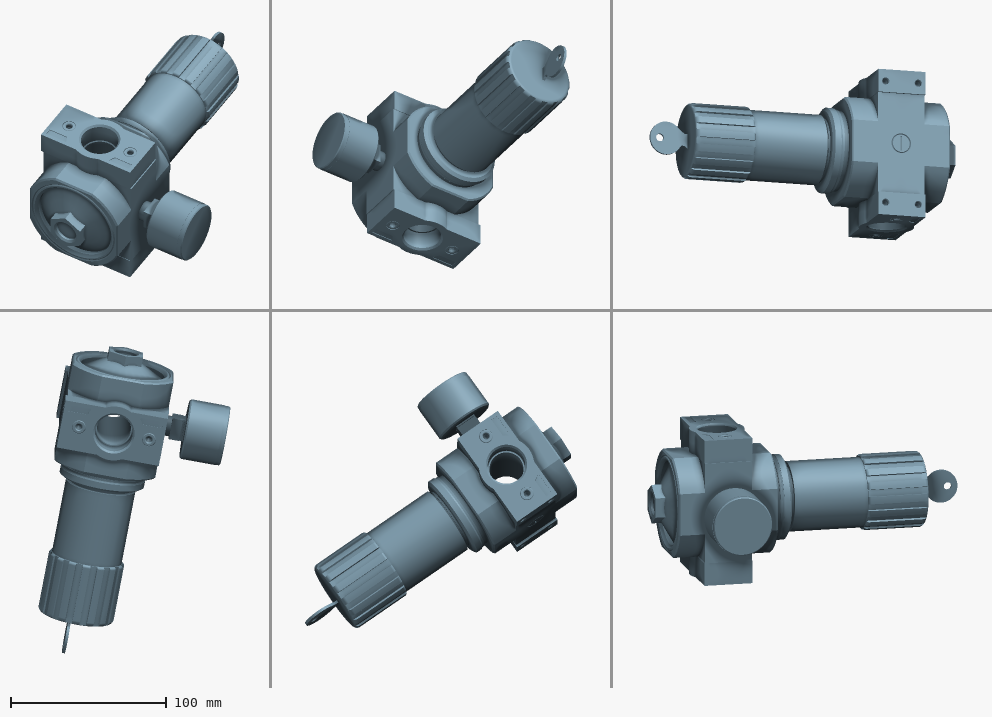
import cadquery as cq
import math


BODY_HALF = 32.99
BODY_RADIUS = 35.7
BODY_CHAMFER = 1.0
ARM_HALF = 15.53
PORT_BORE_DIAMETER = 22.0

COLLAR_RADIUS = 26.0
NUT_SKIRT_RADIUS = 26.8
NUT_SKIRT_START = 36.0
NUT_UNDERCUT_RADIUS = 27.2
NUT_UNDERCUT_START = 37.4
NUT_RADIUS = 27.6
NUT_START = 38.4
NUT_TOP = 43.8
NUT_CHAMFER_WIDTH = 2.2
NUT_CHAMFER_LENGTH = 1.5
NECK_RADIUS = 19.9
NECK_FLANGE_RADIUS = 20.7
NECK_FLANGE_TOP = 45.0

PLUG_OUTER_DIAMETER = 13.2
PLUG_INNER_DIAMETER = 11.2
PLUG_SLOT_WIDTH = 1.2
PLUG_SLOT_LENGTH = 9.1
PLUG_SLOT_DEPTH = 1.0

CAP_RADIUS = 30.7
CAP_EDGE_CHAMFER = 0.6
CAP_LIP_INNER_RADIUS = 29.0
CAP_CONE_BASE_RADIUS = 27.2
CAP_DISH_CHAMFER_DEPTH = 2.0
CAP_DISH_DEPTH = 5.0
CAP_THICKNESS = 10.2
CAP_CONE_TIP_RADIUS = 11.0
CAP_CONE_TIP_HEIGHT = 4.5
HEX_ACROSS_FLATS = 22.1
HEX_END = -43.0
HEX_RECESS_DIAMETER = 17.0
HEX_RECESS_FLOOR_DIAMETER = 14.6
HEX_RECESS_CHAMFER_DEPTH = 1.2
HEX_RECESS_DEPTH = 2.8

SLEEVE_RADIUS = 22.7
SLEEVE_START = 46.5
KNOB_START = 94.8
KNOB_END = 135.0
KNOB_RADIUS = 24.5
KNOB_CORE_RADIUS = 23.3
KNOB_TOP_FILLET = 2.8
KNOB_BOTTOM_FILLET = 1.73
RIB_COUNT = 16
RIB_WIDTH = 4.9

KEY_TIP = 160.0
KEY_BOW_RADIUS = 10.8
KEY_HOLE_DIAMETER = 5.0
KEY_HOLE_OFFSET = 4.3
KEY_X = -3.35
KEY_THICKNESS = 1.8
KEY_NECK_TOP = 3.5
KEY_NECK_BOTTOM = -4.5
KEY_NECK_LENGTH = 4.0
KEY_FOOT_BOTTOM = -6.0
KEY_FOOT_LENGTH = 2.0
KEY_SHOULDER_HALF = 9.0
KEY_SHOULDER_OFFSET = 5.9

PLATE_X_MIN = -34.5
PLATE_X_MAX = 32.3
PLATE_X_MID = (PLATE_X_MIN + PLATE_X_MAX) / 2
PLATE_HALF_WIDTH = 15.8
PLATE_END = 48.0
PLATE_THICKNESS = PLATE_END - BODY_HALF
PORT_BOSS_RADIUS = 17.9
PORT_DIAMETER = 24.2
PORT_DEPTH = 13.4
PORT_CHAMFER = 1.2
SIDE_HOLE_DIAMETER = 4.0
SIDE_HOLE_MOUTH_DIAMETER = 5.0
SIDE_HOLE_SPACING = 22.0
SIDE_HOLE_Z = 40.1
SIDE_HOLE_DEPTH = 3.0
LABEL_INNER_X = 16.2
LABEL_OUTER_X = 30.9
LABEL_SLANT = 1.8
LABEL_TIP_HEIGHT = 1.0
LABEL_Y_MIN = -13.4
LABEL_Y_MAX = -9.1
LABEL_DEPTH = 0.5

SCREW_DIAMETER = 8.7
SCREW_CHAMFER = 0.5
SCREW_SPACING = 45.9
SCREW_SOCKET_DIAMETER = 4.0
SCREW_SOCKET_MOUTH_DIAMETER = 5.0
SCREW_SOCKET_DEPTH = 3.0

STEM_DIAMETER = 13.2
SQUARE_START = 37.1
SQUARE_SIZE = 14.0
NOTCH_START = 43.8
NOTCH_END = 45.3
NOTCH_DEPTH = 1.12
GAUGE_START = 46.3
GAUGE_END = 72.7
GAUGE_RADIUS = 19.5
GAUGE_BACK_CHAMFER = 1.0
BEZEL_START = 69.5
BEZEL_RADIUS = 19.3
BEZEL_CHAMFER = 0.6


def revolve_about_y(points):
    """Revolve an outline of (radius, y) points about the regulator axis."""
    return cq.Workplane("XY").polyline(points).close().revolve(360, (0, 0, 0), (0, 1, 0))


def cylinder_x(x_start, x_end, radius):
    return cq.Workplane("YZ", origin=(x_start, 0, 0)).circle(radius).extrude(x_end - x_start)


def block_x(x_start, x_end, size_y, size_z):
    return cq.Workplane("YZ", origin=(x_start, 0, 0)).rect(size_y, size_z).extrude(x_end - x_start)


def cylinder_z(x, z_start, z_end, radius):
    return cq.Workplane("XY", origin=(x, 0, z_start)).circle(radius).extrude(z_end - z_start)


def drilled_hole(diameter, mouth_diameter, depth):
    """Chamfered blind hole with a conical end, drilled downwards from the origin."""
    radius = diameter / 2
    mouth_radius = mouth_diameter / 2
    outline = [
        (0, 0),
        (mouth_radius, 0),
        (radius, radius - mouth_radius),
        (radius, -depth),
        (0, -depth - radius),
    ]
    return cq.Workplane("XZ").polyline(outline).close().revolve(360, (0, 0, 0), (0, 1, 0))


def rounded_body():
    square = cq.Workplane("XY").box(2 * BODY_HALF, 2 * BODY_HALF, 2 * BODY_HALF)
    edge_radius = BODY_RADIUS - BODY_CHAMFER
    edge_y = BODY_HALF - BODY_CHAMFER
    drum = revolve_about_y([
        (0, -BODY_HALF),
        (edge_radius, -BODY_HALF),
        (BODY_RADIUS, -edge_y),
        (BODY_RADIUS, edge_y),
        (edge_radius, BODY_HALF),
        (0, BODY_HALF),
    ])
    return square.faces("<Y or >Y").chamfer(BODY_CHAMFER).intersect(drum)


def collar():
    return revolve_about_y([
        (0, 0),
        (COLLAR_RADIUS, 0),
        (COLLAR_RADIUS, NUT_SKIRT_START),
        (NUT_SKIRT_RADIUS, NUT_SKIRT_START),
        (NUT_SKIRT_RADIUS, NUT_UNDERCUT_START),
        (NUT_UNDERCUT_RADIUS, NUT_START),
        (NUT_RADIUS, NUT_START),
        (NUT_RADIUS, NUT_TOP - NUT_CHAMFER_LENGTH),
        (NUT_RADIUS - NUT_CHAMFER_WIDTH, NUT_TOP),
        (NECK_FLANGE_RADIUS, NUT_TOP),
        (NECK_FLANGE_RADIUS, NECK_FLANGE_TOP),
        (NECK_RADIUS, NECK_FLANGE_TOP),
        (NECK_RADIUS, SLEEVE_START),
        (0, SLEEVE_START),
    ])


def cap_seat():
    floor_y = CAP_THICKNESS - BODY_HALF
    return revolve_about_y([
        (0, -BODY_HALF),
        (CAP_RADIUS + CAP_EDGE_CHAMFER, -BODY_HALF),
        (CAP_RADIUS, CAP_EDGE_CHAMFER - BODY_HALF),
        (CAP_RADIUS, floor_y),
        (0, floor_y),
    ])


def plug_marking():
    """V groove around the plug face, and its screwdriver slot."""
    outer = PLUG_OUTER_DIAMETER / 2
    inner = PLUG_INNER_DIAMETER / 2
    middle = (outer + inner) / 2
    depth = outer - middle
    face = -BODY_HALF
    groove = (
        cq.Workplane("XY")
        .polyline([(face, outer), (face + depth, middle), (face, inner)])
        .close()
        .revolve(360, (0, 0, 0), (1, 0, 0))
    )
    slot = cq.Workplane("XY").box(2 * PLUG_SLOT_DEPTH, PLUG_SLOT_WIDTH, PLUG_SLOT_LENGTH)
    return groove.union(slot.translate((face, 0, 0)))


def make_housing():
    arms = cq.Workplane("XY").box(2 * BODY_HALF, 2 * ARM_HALF, 2 * BODY_HALF)
    bore = cylinder_z(0, -BODY_HALF, BODY_HALF, PORT_BORE_DIAMETER / 2)
    return (
        rounded_body()
        .union(arms)
        .union(collar())
        .cut(cap_seat())
        .cut(bore)
        .cut(plug_marking())
    )


def make_cap():
    dish = revolve_about_y([
        (0, CAP_THICKNESS - BODY_HALF),
        (CAP_RADIUS, CAP_THICKNESS - BODY_HALF),
        (CAP_RADIUS, CAP_EDGE_CHAMFER - BODY_HALF),
        (CAP_RADIUS - CAP_EDGE_CHAMFER, -BODY_HALF),
        (CAP_LIP_INNER_RADIUS, -BODY_HALF),
        (CAP_CONE_BASE_RADIUS, CAP_DISH_CHAMFER_DEPTH - BODY_HALF),
        (CAP_CONE_BASE_RADIUS, CAP_DISH_DEPTH - BODY_HALF),
        (CAP_CONE_TIP_RADIUS, -BODY_HALF - CAP_CONE_TIP_HEIGHT),
        (0, -BODY_HALF - CAP_CONE_TIP_HEIGHT),
    ])
    hexagon = (
        cq.Workplane("XZ", origin=(0, -BODY_HALF, 0))
        .polygon(6, HEX_ACROSS_FLATS / math.cos(math.pi / 6))
        .extrude(-HEX_END - BODY_HALF)
        .rotate((0, 0, 0), (0, 1, 0), 30)
    )
    recess = revolve_about_y([
        (0, HEX_END),
        (HEX_RECESS_DIAMETER / 2, HEX_END),
        (HEX_RECESS_FLOOR_DIAMETER / 2, HEX_END + HEX_RECESS_CHAMFER_DEPTH),
        (HEX_RECESS_FLOOR_DIAMETER / 2, HEX_END + HEX_RECESS_DEPTH),
        (0, HEX_END + HEX_RECESS_DEPTH),
    ])
    return dish.union(hexagon).cut(recess)


def ribbed_knob():
    """Rounded knob blank, kept only in the core and where the ribs stand."""
    blank = (
        cq.Workplane("XZ", origin=(0, KNOB_START, 0))
        .circle(KNOB_RADIUS)
        .extrude(KNOB_START - KNOB_END)
        .faces(">Y").edges().fillet(KNOB_TOP_FILLET)
        .faces("<Y").edges().fillet(KNOB_BOTTOM_FILLET)
    )
    length = KNOB_END - KNOB_START
    core = cq.Workplane("XZ", origin=(0, KNOB_START, 0)).circle(KNOB_CORE_RADIUS).extrude(-length)
    for index in range(RIB_COUNT // 2):
        fin = (
            cq.Workplane("XY")
            .box(RIB_WIDTH, length, 2 * KNOB_RADIUS + 2)
            .translate((0, KNOB_START + length / 2, 0))
            .rotate((0, 0, 0), (0, 1, 0), index * 360 / RIB_COUNT)
        )
        core = core.union(fin)
    return blank.intersect(core)


def key():
    bow_y = KEY_TIP - KEY_BOW_RADIUS
    shoulder_y = bow_y - KEY_SHOULDER_OFFSET
    neck_y = KNOB_END + KEY_NECK_LENGTH
    plane = cq.Workplane("YZ", origin=(KEY_X - KEY_THICKNESS / 2, 0, 0))
    bow = plane.center(bow_y, 0).circle(KEY_BOW_RADIUS).extrude(KEY_THICKNESS)
    neck = (
        plane.polyline([
            (KNOB_END, KEY_NECK_TOP),
            (neck_y - KEY_FOOT_LENGTH, KEY_NECK_TOP),
            (shoulder_y, KEY_SHOULDER_HALF),
            (shoulder_y, -KEY_SHOULDER_HALF),
            (neck_y, KEY_NECK_BOTTOM),
            (KNOB_END + KEY_FOOT_LENGTH, KEY_NECK_BOTTOM),
            (KNOB_END, KEY_FOOT_BOTTOM),
        ])
        .close()
        .extrude(KEY_THICKNESS)
    )
    hole = plane.center(bow_y + KEY_HOLE_OFFSET, 0).circle(KEY_HOLE_DIAMETER / 2).extrude(KEY_THICKNESS)
    return bow.union(neck).cut(hole)


def make_handle():
    sleeve = (
        cq.Workplane("XZ", origin=(0, SLEEVE_START, 0))
        .circle(SLEEVE_RADIUS)
        .extrude(SLEEVE_START - KNOB_START)
    )
    return sleeve.union(ribbed_knob()).union(key())


def screw_positions():
    return [side * SCREW_SPACING / 2 for side in (-1, 1)]


def label_recess(side):
    inner = PLATE_X_MID + side * LABEL_INNER_X
    outer = PLATE_X_MID + side * LABEL_OUTER_X
    return (
        cq.Workplane("XY", origin=(0, 0, PLATE_END - LABEL_DEPTH))
        .polyline([
            (inner, LABEL_Y_MIN),
            (outer, LABEL_Y_MIN),
            (outer, LABEL_Y_MAX),
            (inner + side * LABEL_SLANT, LABEL_Y_MAX),
            (inner, LABEL_Y_MIN + LABEL_TIP_HEIGHT),
        ])
        .close()
        .extrude(LABEL_DEPTH)
    )


def upper_plate():
    plate = (
        cq.Workplane("XY")
        .box(PLATE_X_MAX - PLATE_X_MIN, 2 * PLATE_HALF_WIDTH, PLATE_THICKNESS)
        .translate((PLATE_X_MID, 0, BODY_HALF + PLATE_THICKNESS / 2))
    )
    plate = plate.union(cylinder_z(0, BODY_HALF, PLATE_END, PORT_BOSS_RADIUS))
    plate = plate.cut(cylinder_z(0, PLATE_END - PORT_DEPTH, PLATE_END, PORT_DIAMETER / 2))
    plate = plate.faces(">Z").edges("%CIRCLE").edges(
        cq.selectors.RadiusNthSelector(0)
    ).chamfer(PORT_CHAMFER)
    plate = plate.cut(cylinder_z(0, BODY_HALF, PLATE_END, PORT_BORE_DIAMETER / 2))
    for x in screw_positions():
        plate = plate.cut(cylinder_z(x, BODY_HALF, PLATE_END, SCREW_DIAMETER / 2))
    for side in (-1, 1):
        plate = plate.cut(label_recess(side))
        side_hole = (
            drilled_hole(SIDE_HOLE_DIAMETER, SIDE_HOLE_MOUTH_DIAMETER, SIDE_HOLE_DEPTH)
            .rotate((0, 0, 0), (0, 1, 0), -90)
            .translate((PLATE_X_MIN, side * SIDE_HOLE_SPACING / 2, SIDE_HOLE_Z))
        )
        plate = plate.cut(side_hole)
    return plate


def upper_screw(x):
    screw = cylinder_z(x, BODY_HALF, PLATE_END, SCREW_DIAMETER / 2).faces(">Z").chamfer(SCREW_CHAMFER)
    socket = drilled_hole(SCREW_SOCKET_DIAMETER, SCREW_SOCKET_MOUTH_DIAMETER, SCREW_SOCKET_DEPTH)
    return screw.cut(socket.translate((x, 0, PLATE_END)))


def with_lower_copy(body):
    """The body and its mirror image below the regulator axis."""
    return [body.val(), body.mirror("XY").val()]


def make_gauge():
    stem = cylinder_x(BODY_HALF, SQUARE_START, STEM_DIAMETER / 2)
    square = block_x(SQUARE_START, GAUGE_START, SQUARE_SIZE, SQUARE_SIZE)
    notch = block_x(NOTCH_START, NOTCH_END, SQUARE_SIZE, 2 * NOTCH_DEPTH)
    for side in (-1, 1):
        square = square.cut(notch.translate((0, 0, side * SQUARE_SIZE / 2)))
    case = cylinder_x(GAUGE_START, BEZEL_START, GAUGE_RADIUS).faces("<X").chamfer(GAUGE_BACK_CHAMFER)
    bezel = cylinder_x(BEZEL_START, GAUGE_END, BEZEL_RADIUS).faces(">X").chamfer(BEZEL_CHAMFER)
    return stem.union(square).union(case).union(bezel)


housing = make_housing()
cap = make_cap()
handle = make_handle()
gauge = make_gauge()
plates = with_lower_copy(upper_plate())
screws = []
for screw_x in screw_positions():
    screws += with_lower_copy(upper_screw(screw_x))

result = cq.Compound.makeCompound([
    housing.val(),
    cap.val(),
    handle.val(),
    gauge.val(),
    *plates,
    *screws,
])